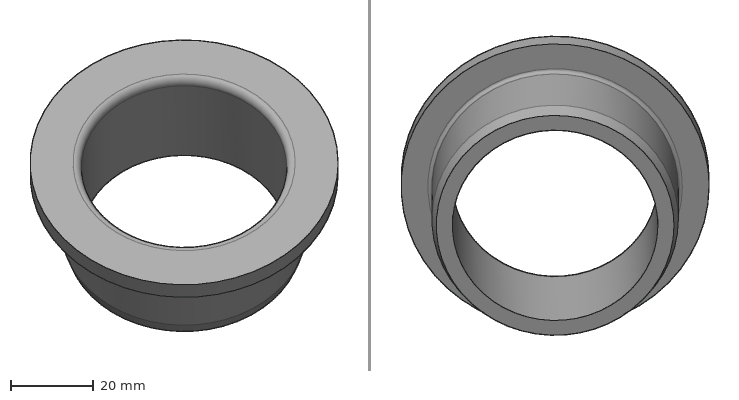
import cadquery as cq
import math

flange_diameter = 75.0
barrel_diameter = 60.0
bore_diameter = 50.0
total_height = 30.0
flange_thickness = 5.0
mouth_radius = 2.0
neck_radius = 1.0
lead_in_height = 4.0
lead_in_angle = 15.0

flange_radius = flange_diameter / 2
barrel_radius = barrel_diameter / 2
bore_radius = bore_diameter / 2
flange_underside = total_height - flange_thickness
tip_radius = barrel_radius - lead_in_height * math.tan(math.radians(lead_in_angle))

section = (
    cq.Workplane("XZ")
    .moveTo(bore_radius, 0)
    .lineTo(tip_radius, 0)
    .lineTo(barrel_radius, lead_in_height)
    .lineTo(barrel_radius, flange_underside - neck_radius)
    .radiusArc((barrel_radius + neck_radius, flange_underside), neck_radius)
    .lineTo(flange_radius, flange_underside)
    .lineTo(flange_radius, total_height)
    .lineTo(bore_radius + mouth_radius, total_height)
    .radiusArc((bore_radius, total_height - mouth_radius), -mouth_radius)
    .close()
)

result = section.revolve(360, (0, 0, 0), (0, 1, 0))